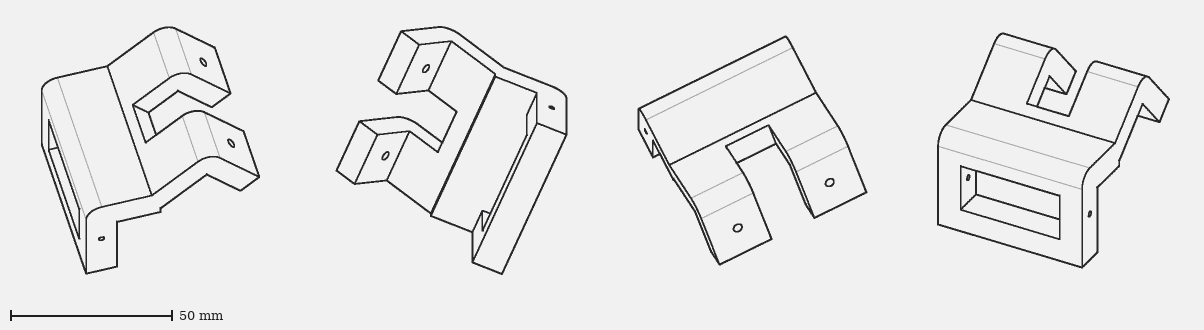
import cadquery as cq
import math

width = 51.0
length = 55.8

wall = 10.0
shelf_top = 34.0
shelf_bottom = shelf_top - wall
shelf_end = 24.0
bend_radius = 5.0

slope = math.radians(40)
arm_thickness = 8.0
rise_length = 24.4
drop_length = 24.85

slot_width = 14.85
slot_start = 4.0

prong_hole_diameter = 2.8
prong_hole_spacing = 31.95
prong_hole_from_tip = 9.95

window_margin = 8.0
window_top = shelf_bottom

pin_hole_diameter = 1.7
pin_hole_height = 16.95

rise = (math.cos(slope), math.sin(slope))
drop = (math.sin(slope), -math.cos(slope))


def move(point, direction, distance):
    """Shift a (Y, Z) point along a direction."""
    return (point[0] + direction[0] * distance, point[1] + direction[1] * distance)


arm_foot = (length - rise_length * rise[0] - drop_length * drop[0], shelf_top)
crest = move(arm_foot, rise, rise_length)
tip = move(crest, drop, drop_length)
tip_under = move(tip, rise, -arm_thickness)
crest_under = move(tip_under, drop, arm_thickness - drop_length)
under_meets_shelf = move(crest_under, rise, (shelf_end - crest_under[0]) / rise[0])


def make_body():
    """Side outline extruded across the width, with both outer bends rounded."""
    outline = [
        (0, 0),
        (0, shelf_top),
        arm_foot,
        crest,
        tip,
        tip_under,
        crest_under,
        under_meets_shelf,
        (shelf_end, shelf_bottom),
        (wall, shelf_bottom),
        (wall, 0),
    ]
    body = cq.Workplane("YZ").polyline(outline).close().extrude(width / 2, both=True)
    for y, z in [(0, shelf_top), crest]:
        bend_edge = cq.selectors.NearestToPointSelector((0, y, z))
        body = body.edges(bend_edge).fillet(bend_radius)
    return body


def make_slot():
    """Cutter for the gap between the prongs, with an end square to the slope."""
    inner_top = move(arm_foot, rise, slot_start)
    inner_bottom = move(inner_top, drop, arm_thickness)
    outline = [inner_top, crest, tip, tip_under, crest_under, inner_bottom]
    return cq.Workplane("YZ").polyline(outline).close().extrude(slot_width / 2, both=True)


def make_prong_hole(x):
    """Cutter for a through hole in one prong."""
    y, z = move(tip, drop, -prong_hole_from_tip)
    inward = cq.Vector(0, -rise[0], -rise[1])
    return cq.Solid.makeCylinder(prong_hole_diameter / 2, arm_thickness, cq.Vector(x, y, z), inward)


def make_window():
    """Cutter for the rectangular opening in the front wall."""
    window_width = width - 2 * window_margin
    window_height = window_top - window_margin
    window = cq.Workplane("XY").box(window_width, wall, window_height, centered=(True, False, False))
    return window.translate((0, 0, window_margin))


def make_pin_hole():
    """Cutter for the hole across the full width, centred in the wall thickness."""
    pin = cq.Workplane("YZ").center(wall / 2, pin_hole_height).circle(pin_hole_diameter / 2)
    return pin.extrude(width / 2, both=True)


result = make_body().cut(make_slot()).cut(make_window()).cut(make_pin_hole())
for side in (-1, 1):
    result = result.cut(make_prong_hole(side * prong_hole_spacing / 2))